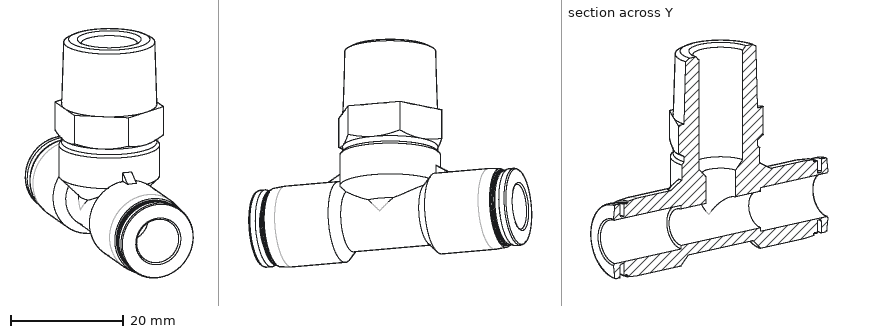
import cadquery as cq
import math


run_half_length = 24.7
sleeve_radius = 14.5 / 2
waist_radius = 11.0 / 2
sleeve_inner_x = 9.15
sleeve_taper_x = 19.3
sleeve_end_x = 21.4
sleeve_end_radius = 7.05

bead_radius = 13.5 / 2
bead_outer_x = 22.25
bead_flat_width = 0.2
bead_chamfer = 0.15
lip_outer_x = 21.65
groove_radius = bead_radius - bead_chamfer

ring_neck_radius = 8.8 / 2
ring_flange_radius = 13.8 / 2
ring_flange_x = 23.1
ring_neck_chamfer = 0.25
ring_rim_x = 24.1
ring_face_edge_x = 24.4
ring_face_edge_radius = 6.75
ring_mouth_radius = 8.6 / 2

tube_radius = 8.0 / 2
passage_radius = 6.7 / 2
tube_stop_x = sleeve_inner_x

collar_radius = 18.0 / 2
collar_bottom_z = 5.85
collar_top_z = 12.0
collar_chamfer = 0.5
neck_radius = collar_radius - collar_chamfer
hex_across_flats = 17.0
hex_bottom_z = 13.0
hex_top_z = 19.0
hex_chamfer_angle = math.radians(30)
thread_base_radius = hex_across_flats / 2
thread_diameter_taper = 1 / 16
thread_top_z = 31.0
thread_tip_chamfer_height = 0.5
thread_tip_radius = 14.5 / 2

branch_bore_radius = 10.0 / 2
branch_mouth_radius = 11.4 / 2
bore_cone_top_z = 10.0

rib_width = 1.7
rib_top_z = 8.7
rib_foot_x = 11.5
rib_root_depth = 1.0


def revolve_about_x(points):
    """Revolve an (x, radius) outline about the X axis."""
    return cq.Workplane("XZ").polyline(points).close().revolve(360, (0, 0), (1, 0))


def revolve_about_z(points):
    """Revolve a (radius, z) outline about the Z axis."""
    return cq.Workplane("XZ").polyline(points).close().revolve(360, (0, 0), (0, 1))


def both_ends(solid):
    """Join a +X half to its mirror image on -X."""
    return solid.union(solid.mirror("YZ"))


def run_half():
    waist_end_x = sleeve_inner_x - (sleeve_radius - waist_radius)
    bead_outer_flat_x = bead_outer_x - bead_chamfer
    bead_inner_flat_x = bead_outer_flat_x - bead_flat_width
    return revolve_about_x([
        (0, 0),
        (0, waist_radius),
        (waist_end_x, waist_radius),
        (sleeve_inner_x, sleeve_radius),
        (sleeve_taper_x, sleeve_radius),
        (sleeve_end_x, sleeve_end_radius),
        (sleeve_end_x, bead_radius),
        (lip_outer_x - bead_chamfer, bead_radius),
        (lip_outer_x, groove_radius),
        (bead_inner_flat_x - bead_chamfer, groove_radius),
        (bead_inner_flat_x, bead_radius),
        (bead_outer_flat_x, bead_radius),
        (bead_outer_x, groove_radius),
        (bead_outer_x, ring_neck_radius),
        (ring_flange_x - ring_neck_chamfer, ring_neck_radius),
        (ring_flange_x, ring_neck_radius + ring_neck_chamfer),
        (ring_flange_x, ring_flange_radius),
        (ring_rim_x, ring_flange_radius),
        (ring_face_edge_x, ring_face_edge_radius),
        (run_half_length, ring_mouth_radius),
        (run_half_length, 0),
    ])


def run_bore_half():
    mouth_chamfer = ring_mouth_radius - tube_radius
    return revolve_about_x([
        (0, 0),
        (0, passage_radius),
        (tube_stop_x, passage_radius),
        (tube_stop_x, tube_radius),
        (run_half_length - mouth_chamfer, tube_radius),
        (run_half_length, ring_mouth_radius),
        (run_half_length, 0),
    ])


def branch_collar():
    cone_bottom_z = collar_bottom_z - (collar_radius - waist_radius)
    return revolve_about_z([
        (0, 0),
        (waist_radius, 0),
        (waist_radius, cone_bottom_z),
        (collar_radius, collar_bottom_z),
        (collar_radius, collar_top_z - collar_chamfer),
        (neck_radius, collar_top_z),
        (neck_radius, hex_bottom_z),
        (0, hex_bottom_z),
    ])


def hexagon():
    corner_radius = hex_across_flats / 2 / math.cos(math.pi / 6)
    height = hex_top_z - hex_bottom_z
    prism = (
        cq.Workplane("XY")
        .workplane(offset=hex_bottom_z)
        .polygon(6, 2 * corner_radius)
        .extrude(height)
    )
    flat_radius = hex_across_flats / 2
    cone_radius = flat_radius + height / math.tan(hex_chamfer_angle)
    chamfer_cone = revolve_about_z([
        (0, hex_bottom_z),
        (flat_radius, hex_bottom_z),
        (cone_radius, hex_top_z),
        (0, hex_top_z),
    ])
    return prism.intersect(chamfer_cone)


def thread_stub():
    chamfer_z = thread_top_z - thread_tip_chamfer_height
    chamfer_radius = thread_base_radius - (chamfer_z - hex_top_z) * thread_diameter_taper / 2
    return revolve_about_z([
        (0, hex_top_z),
        (thread_base_radius, hex_top_z),
        (chamfer_radius, chamfer_z),
        (thread_tip_radius, thread_top_z),
        (0, thread_top_z),
    ])


def branch_bore():
    mouth_chamfer = branch_mouth_radius - branch_bore_radius
    cone_bottom_z = bore_cone_top_z - (branch_bore_radius - passage_radius)
    return revolve_about_z([
        (0, 0),
        (passage_radius, 0),
        (passage_radius, cone_bottom_z),
        (branch_bore_radius, bore_cone_top_z),
        (branch_bore_radius, thread_top_z - mouth_chamfer),
        (branch_mouth_radius, thread_top_z),
        (0, thread_top_z),
    ])


def rib():
    """Triangular rib on +X, rooted inside the collar and the sleeve."""
    root_x = collar_radius - rib_root_depth
    root_z = sleeve_radius - rib_root_depth
    outline = [
        (root_x, root_z),
        (rib_foot_x, root_z),
        (rib_foot_x, sleeve_radius),
        (collar_radius, rib_top_z),
        (root_x, rib_top_z),
    ]
    return cq.Workplane("XZ").polyline(outline).close().extrude(rib_width / 2, both=True)


body = both_ends(run_half().union(rib()))
body = body.union(branch_collar()).union(hexagon()).union(thread_stub())
result = body.cut(both_ends(run_bore_half())).cut(branch_bore())